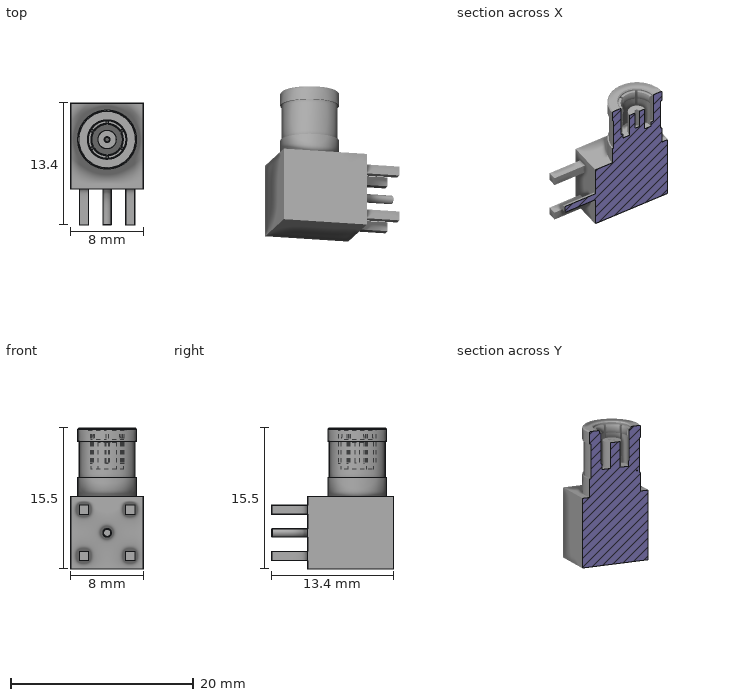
import cadquery as cq


body_side = 8.0
half_body = body_side / 2
plate_thickness = 1.44
plate_face_y = -half_body - plate_thickness

leg_length = 3.97
leg_width = 1.0
leg_pitch = 5.08
centre_pin_diameter = 0.95
centre_pin_chamfer = 0.08

barrel_height = 7.5
barrel_top_z = half_body + barrel_height
rim_radius = 3.24
rim_height = 1.45
rim_chamfer = 0.12
neck_radius = 3.08
base_ring_height = 2.1

socket_radius = 2.06
socket_chamfer = 0.11
finger_top_depth = 0.28
finger_bore_radius = 1.78
finger_bulge = 0.11
bulge_end_depth = 1.22
slot_count = 6
slot_width = 0.28
slot_depth = 3.88
bore_depth = 4.5

post_radius = 1.0
post_top_depth = 1.57
contact_radius = 0.33
contact_hole_radius = 0.25
contact_protrusion = 0.08
contact_hole_depth = 2.32


def make_body():
    """Cube body with the mounting plate joined to its -Y side."""
    depth = body_side + plate_thickness
    return cq.Workplane("XY").box(body_side, depth, body_side).translate((0, -plate_thickness / 2, 0))


def make_legs():
    """Four square legs at the plate corners and a round pin in the middle."""
    face = cq.Workplane("XZ", origin=(0, plate_face_y, 0))
    legs = face.rarray(leg_pitch, leg_pitch, 2, 2).rect(leg_width, leg_width).extrude(leg_length)
    pin = face.circle(centre_pin_diameter / 2).extrude(leg_length)
    pin = pin.faces("<Y").chamfer(centre_pin_chamfer)
    return legs.union(pin)


def make_barrel():
    """Solid barrel: a base ring, a slimmer neck and a chamfered rim."""
    top_face = cq.Workplane("XY", origin=(0, 0, half_body))
    base_ring = top_face.circle(rim_radius).extrude(base_ring_height)
    neck = top_face.circle(neck_radius).extrude(barrel_height)
    rim = top_face.workplane(offset=barrel_height - rim_height).circle(rim_radius).extrude(rim_height)
    rim = rim.faces(">Z").chamfer(rim_chamfer)
    return base_ring.union(neck).union(rim)


def make_socket_cavity():
    """Revolved space inside the barrel, with the spring fingers bulging inward near the top."""
    finger_top_z = barrel_top_z - finger_top_depth
    bulge_end_z = barrel_top_z - bulge_end_depth
    floor_z = barrel_top_z - bore_depth
    return (
        cq.Workplane("XZ")
        .moveTo(0, floor_z)
        .lineTo(finger_bore_radius, floor_z)
        .lineTo(finger_bore_radius, bulge_end_z)
        .threePointArc(
            (finger_bore_radius - finger_bulge, (finger_top_z + bulge_end_z) / 2),
            (finger_bore_radius, finger_top_z),
        )
        .lineTo(socket_radius, finger_top_z)
        .lineTo(socket_radius, barrel_top_z - socket_chamfer)
        .lineTo(socket_radius + socket_chamfer, barrel_top_z)
        .lineTo(0, barrel_top_z)
        .close()
        .revolve(360, (0, 0, 0), (0, 1, 0))
    )


def make_finger_slots():
    """Evenly spaced radial slots that split the bore wall into spring fingers."""
    slot_floor = cq.Workplane("XY", origin=(0, 0, barrel_top_z - slot_depth))
    slot_height = slot_depth - finger_top_depth
    bars = cq.Workplane("XY")
    for index in range(slot_count // 2):
        angle = 90 + index * 360 / slot_count
        bar = slot_floor.rect(2 * socket_radius, slot_width).extrude(slot_height)
        bars = bars.add(bar.rotate((0, 0, 0), (0, 0, 1), angle))
    return slot_floor.circle(socket_radius).extrude(slot_height).intersect(bars.combine())


def make_insulator_post():
    """Post standing on the bore floor, with a tubular contact just proud of its top."""
    post_height = bore_depth - post_top_depth
    contact_height = post_height + contact_protrusion
    floor = cq.Workplane("XY", origin=(0, 0, barrel_top_z - bore_depth))
    post = floor.circle(post_radius).extrude(post_height)
    contact = floor.circle(contact_radius).extrude(contact_height)
    hole = floor.workplane(offset=contact_height).circle(contact_hole_radius).extrude(-contact_hole_depth)
    return post.union(contact).cut(hole)


barrel = make_barrel().cut(make_socket_cavity()).cut(make_finger_slots())
result = make_body().union(make_legs()).union(barrel).union(make_insulator_post())